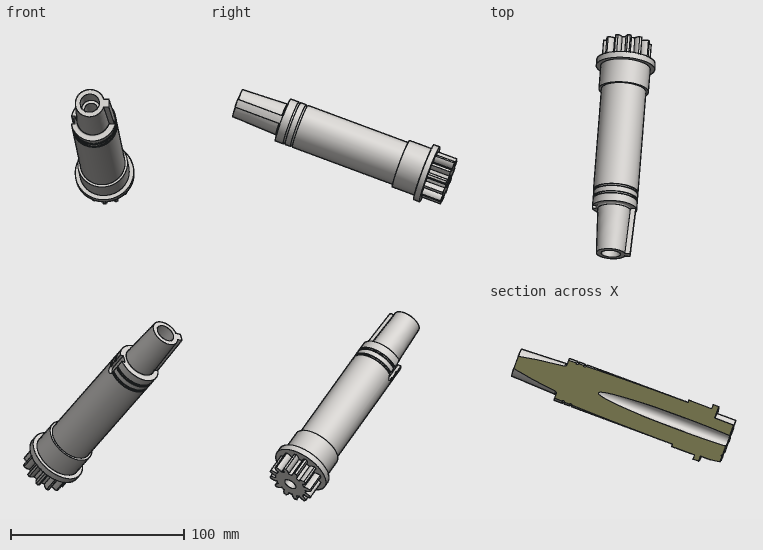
import cadquery as cq

FLANGE_START = 11.7
FLANGE_END = 15.3
COLLAR_END = 29.4
GROOVE_STARTS = (91.5, 96.0)
SHOULDER = 102.1
LENGTH = 130.1

FLANGE_RADIUS = 17.0
COLLAR_RADIUS = 14.4
BODY_RADIUS = 13.0
NOSE_BASE_RADIUS = 9.6
NOSE_TIP_RADIUS = 8.4
NOSE_FILLET = 0.9

GROOVE_WIDTH = 1.2
GROOVE_DEPTH = 0.5

BORE_RADIUS = 3.8
COUNTERBORE_RADIUS = 5.6
COUNTERBORE_DEPTH = 10.4

KEY_WIDTH = 4.8
KEY_TIP_RADIUS = 11.3
KEYWAY_LENGTH = 13.0
KEYWAY_FLOOR = 10.6

TOOTH_COUNT = 12
TOOTH_PHASE = 2.5
TOOTH_TIP_RADIUS = 13.9
TOOTH_ROOT_RADIUS = 10.1
TOOTH_MIDDLE_RADIUS = (TOOTH_TIP_RADIUS + TOOTH_ROOT_RADIUS) / 2
TOOTH_HALF_WIDTH = 1.5
TIP_HALF_WIDTH = 0.71

TILT = 20.3
YAW = 4.5


def cylinder(radius, start, end):
    return cq.Workplane("XY").workplane(offset=start).circle(radius).extrude(end - start)


def cone(base_radius, tip_radius, start, end):
    profile = [(0, start), (base_radius, start), (tip_radius, end), (0, end)]
    return cq.Workplane("XZ").polyline(profile).close().revolve(360, (0, 0), (0, 1))


def nose():
    taper = cone(NOSE_BASE_RADIUS, NOSE_TIP_RADIUS, SHOULDER, LENGTH)
    blend = (
        cq.Workplane("XZ")
        .moveTo(0, SHOULDER)
        .lineTo(NOSE_BASE_RADIUS + NOSE_FILLET, SHOULDER)
        .radiusArc((NOSE_BASE_RADIUS, SHOULDER + NOSE_FILLET), NOSE_FILLET)
        .lineTo(0, SHOULDER + NOSE_FILLET)
        .close()
        .revolve(360, (0, 0), (0, 1))
    )
    return taper.union(blend)


def key():
    base_radius = KEY_TIP_RADIUS + NOSE_BASE_RADIUS - NOSE_TIP_RADIUS
    envelope = cone(base_radius, KEY_TIP_RADIUS, SHOULDER, LENGTH)
    bar = cq.Workplane("XY").box(
        base_radius, KEY_WIDTH, LENGTH - SHOULDER, centered=(False, True, False)
    )
    return envelope.intersect(bar.translate((0, 0, SHOULDER)))


def spline():
    core = cylinder(TOOTH_ROOT_RADIUS, 0, FLANGE_START)
    tooth = (
        cq.Workplane("XY")
        .moveTo(0, -TOOTH_HALF_WIDTH)
        .lineTo(TOOTH_ROOT_RADIUS, -TOOTH_HALF_WIDTH)
        .threePointArc((TOOTH_MIDDLE_RADIUS, -TOOTH_HALF_WIDTH), (TOOTH_TIP_RADIUS, -TIP_HALF_WIDTH))
        .lineTo(TOOTH_TIP_RADIUS, TIP_HALF_WIDTH)
        .threePointArc((TOOTH_MIDDLE_RADIUS, TOOTH_HALF_WIDTH), (TOOTH_ROOT_RADIUS, TOOTH_HALF_WIDTH))
        .lineTo(0, TOOTH_HALF_WIDTH)
        .close()
        .extrude(FLANGE_START)
    )
    teeth = core
    for index in range(TOOTH_COUNT):
        angle = TOOTH_PHASE + index * 360 / TOOTH_COUNT
        teeth = teeth.union(tooth.rotate((0, 0, 0), (0, 0, 1), -angle))
    return teeth


def groove(start):
    end = start + GROOVE_WIDTH
    ring = cylinder(BODY_RADIUS + GROOVE_DEPTH, start, end)
    return ring.cut(cylinder(BODY_RADIUS - GROOVE_DEPTH, start, end))


def keyway():
    end_radius = KEY_WIDTH / 2
    round_centre = SHOULDER - KEYWAY_LENGTH + end_radius
    return (
        cq.Workplane("YZ")
        .workplane(offset=-BODY_RADIUS)
        .moveTo(-end_radius, SHOULDER)
        .lineTo(-end_radius, round_centre)
        .threePointArc((0, SHOULDER - KEYWAY_LENGTH), (end_radius, round_centre))
        .lineTo(end_radius, SHOULDER)
        .close()
        .extrude(BODY_RADIUS - KEYWAY_FLOOR)
    )


shaft = spline()
shaft = shaft.union(cylinder(FLANGE_RADIUS, FLANGE_START, FLANGE_END))
shaft = shaft.union(cylinder(COLLAR_RADIUS, FLANGE_END, COLLAR_END))
shaft = shaft.union(cylinder(BODY_RADIUS, COLLAR_END, SHOULDER))
for groove_start in GROOVE_STARTS:
    shaft = shaft.cut(groove(groove_start))
shaft = shaft.cut(keyway())
shaft = shaft.union(nose()).union(key())
shaft = shaft.cut(cylinder(BORE_RADIUS, 0, LENGTH))
shaft = shaft.cut(cylinder(COUNTERBORE_RADIUS, LENGTH - COUNTERBORE_DEPTH, LENGTH))

result = shaft.rotate((0, 0, 0), (1, 0, 0), 90 - TILT).rotate((0, 0, 0), (0, 0, 1), -YAW)